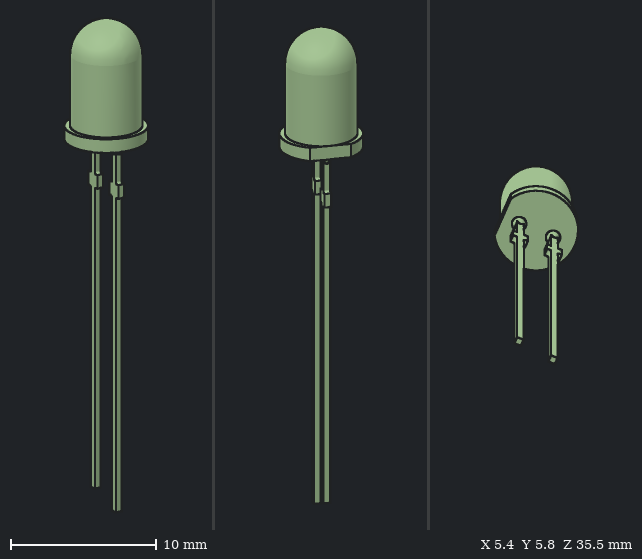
import cadquery as cq

LENS_RADIUS = 2.5
LENS_HEIGHT = 8.7
FLANGE_RADIUS = 2.9
FLANGE_HEIGHT = 1.0
FLAT_OFFSET = LENS_RADIUS

LEAD_PITCH = 2.54
LEAD_WIDTH = 0.5
LONG_LEAD_LENGTH = 26.8
SHORT_LEAD_LENGTH = LONG_LEAD_LENGTH - 1.0

STOPPER_WIDTH = 1.1
STOPPER_HEIGHT = 1.0
STOPPER_DEPTH = 2.8
STOPPER_FILLET = 0.15

COLLAR_TOP_RADIUS = 0.5
COLLAR_BOTTOM_RADIUS = LEAD_WIDTH / 2
COLLAR_HEIGHT = 0.7


def make_lens():
    """Cylinder closed by a hemispherical dome."""
    dome_base = LENS_HEIGHT - LENS_RADIUS
    cylinder = cq.Workplane("XY").circle(LENS_RADIUS).extrude(dome_base)
    dome = cq.Workplane("XY").sphere(LENS_RADIUS).translate((0, 0, dome_base))
    return cylinder.union(dome)


def make_flange():
    """Disc with its -X side cut flat."""
    disc = cq.Workplane("XY").circle(FLANGE_RADIUS).extrude(FLANGE_HEIGHT)
    beyond_flat = (
        cq.Workplane("XY")
        .box(FLANGE_RADIUS, 2 * FLANGE_RADIUS, FLANGE_HEIGHT, centered=(False, True, False))
        .translate((-FLAT_OFFSET - FLANGE_RADIUS, 0, 0))
    )
    return disc.cut(beyond_flat)


def make_wire_with_stopper(length):
    """Square wire hanging down from Z = 0, with the filleted stopper across it."""
    wire = cq.Workplane("XY").rect(LEAD_WIDTH, LEAD_WIDTH).extrude(-length)
    stopper = (
        cq.Workplane("XY", origin=(0, 0, -STOPPER_DEPTH))
        .rect(STOPPER_WIDTH, LEAD_WIDTH)
        .extrude(-STOPPER_HEIGHT)
    )

    reach_x = (LEAD_WIDTH + STOPPER_WIDTH) / 4
    stopper_bottom = -STOPPER_DEPTH - STOPPER_HEIGHT
    inner_corners = cq.selectors.BoxSelector(
        (-reach_x, -LEAD_WIDTH, stopper_bottom - LEAD_WIDTH),
        (reach_x, LEAD_WIDTH, -STOPPER_DEPTH + LEAD_WIDTH),
    )
    return wire.union(stopper).edges("|Y").edges(inner_corners).fillet(STOPPER_FILLET)


def make_collar():
    """Cone narrowing downward from the flange underside."""
    return (
        cq.Workplane("XZ")
        .lineTo(COLLAR_TOP_RADIUS, 0)
        .lineTo(COLLAR_BOTTOM_RADIUS, -COLLAR_HEIGHT)
        .lineTo(0, -COLLAR_HEIGHT)
        .close()
        .revolve(360, (0, 0, 0), (0, 1, 0))
    )


def make_lead(x, length):
    """Complete lead at the given X position."""
    return make_wire_with_stopper(length).union(make_collar()).translate((x, 0, 0))


short_lead = make_lead(-LEAD_PITCH / 2, SHORT_LEAD_LENGTH)
long_lead = make_lead(LEAD_PITCH / 2, LONG_LEAD_LENGTH)

result = make_lens().union(make_flange()).union(short_lead).union(long_lead)